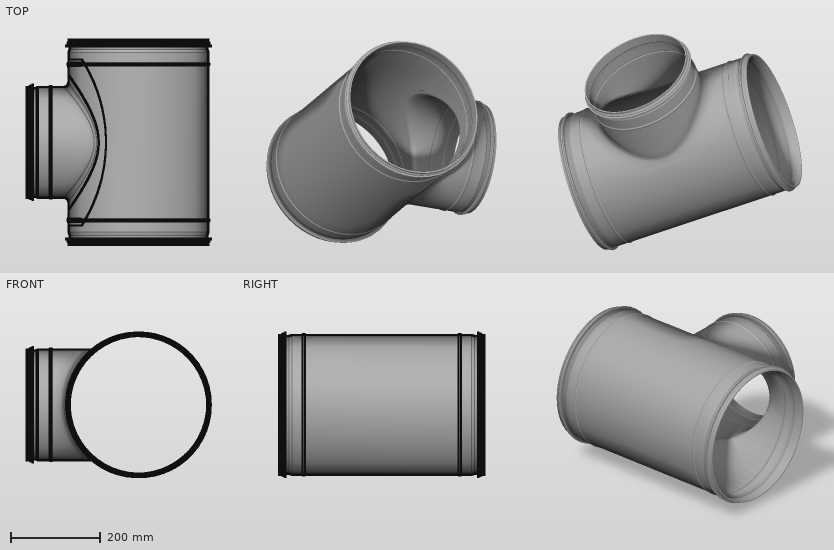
import cadquery as cq
import math


sheet = 0.5

main_length = 460.0
main_radius = 313.5 / 2
main_groove_radius = 309.0 / 2
main_taper_end = 29.0

overall_depth = 412.5
branch_radius = 249.0 / 2
branch_groove_radius = 244.3 / 2
branch_taper_end = 25.0

flange_thickness = 2.0
groove_end = 21.5
main_bead_place = 55.0
branch_bead_place = 54.0
bead_half_width = 3.5
bead_bore_half_width = 2.5
bead_height = 2.0
plain_from = 64.5

band_thickness = 1.5
small_lip_start = 5.5
small_lip_crown = 8.5
small_lip_end = 10.5
small_lip_height = 2.8
large_lip_start = 13.0
large_lip_end = 14.5
large_lip_height = 10.5 / 2

saddle_fillet = 9.0
plate_half_length = 186.0
plate_edge_x = -72.5
plate_edge_radius = 345.0
opening_half_length = 151.5
opening_half_height = 129.0

branch_reach = overall_depth - main_radius - large_lip_height


def add_bead(profile, radius, middle, direction):
    """Continue a profile over a bead made of a crown arc and two equal foot arcs, all tangent.

    The profile runs along +Z for direction = 1 and along -Z for direction = -1.
    """
    half = direction * bead_half_width / 2
    rise = bead_height / 2
    arc_radius = (half**2 + rise**2) / (2 * rise)
    half_angle = math.asin(half / arc_radius) / 2
    foot_step = arc_radius * math.sin(half_angle)
    foot_radius = radius + arc_radius * (1 - math.cos(half_angle))
    side_radius = radius + rise
    crown = (radius + bead_height, middle)
    start = middle - 2 * half
    end = middle + 2 * half
    return (
        profile.lineTo(radius, start)
        .threePointArc((foot_radius, start + foot_step), (side_radius, middle - half))
        .threePointArc(crown, (side_radius, middle + half))
        .threePointArc((foot_radius, end - foot_step), (radius, end))
    )


def revolve_about_z(profile):
    """Close a profile drawn in the XZ plane and turn it round the Z axis."""
    return profile.close().revolve(360, (0, 0, 0), (0, 1, 0))


def make_spigot(start, length, radius, groove_radius, taper_end, bead_place):
    """Sheet tube along +Z from a start height, with a bead, a gasket groove and an end flange."""
    bore_radius = radius - sheet
    bead_middle = length - bead_place
    profile = cq.Workplane("XZ").moveTo(radius, start)
    profile = add_bead(profile, radius, bead_middle, 1)
    profile = (
        profile.lineTo(radius, length - taper_end)
        .lineTo(groove_radius, length - groove_end)
        .lineTo(groove_radius, length - flange_thickness)
        .lineTo(radius, length - flange_thickness)
        .lineTo(radius, length)
        .lineTo(groove_radius - sheet, length)
        .lineTo(groove_radius - sheet, length - groove_end)
        .lineTo(bore_radius, length - taper_end)
    )
    profile = (
        profile.lineTo(bore_radius, bead_middle + bead_bore_half_width)
        .threePointArc(
            (bore_radius + bead_height, bead_middle),
            (bore_radius, bead_middle - bead_bore_half_width),
        )
        .lineTo(bore_radius, start)
    )
    return revolve_about_z(profile)


def make_plate_wing():
    """Outer part of the saddle plate as a full ring along +Z, pressed over the bead of the main pipe."""
    plate_radius = main_radius + sheet
    start = main_length / 2 - plain_from
    bead_middle = main_length / 2 - main_bead_place
    profile = cq.Workplane("XZ").moveTo(plate_radius, start)
    profile = add_bead(profile, plate_radius, bead_middle, 1)
    profile = profile.lineTo(plate_radius, plate_half_length).lineTo(main_radius, plate_half_length)
    profile = add_bead(profile, main_radius, bead_middle, -1).lineTo(main_radius, start)
    return revolve_about_z(profile)


def toward_y(body, side):
    """Turn a body from the +Z axis onto the +Y (side = 1) or -Y (side = -1) axis."""
    return body.rotate((0, 0, 0), (1, 0, 0), -90 * side)


def toward_branch(body):
    """Turn a body from the +Z axis onto the -X axis."""
    return body.rotate((0, 0, 0), (0, 1, 0), -90)


def make_main_pipe():
    """Main pipe: a thin shell with an elliptical opening under the saddle."""
    half = make_spigot(
        0, main_length / 2, main_radius, main_groove_radius, main_taper_end, main_bead_place
    )
    opening = (
        cq.Workplane("YZ")
        .ellipse(opening_half_length, opening_half_height)
        .extrude(-branch_reach)
    )
    return toward_y(half, 1).union(toward_y(half, -1), clean=True).cut(opening)


def tee_core(crossing_radius, stub_radius, fillet):
    """Solid cylinder along Y with a plain stub along -X and a fillet round the foot of the stub."""
    crossing = (
        cq.Workplane("XZ")
        .circle(crossing_radius)
        .extrude(main_length / 2 - plain_from, both=True)
    )
    stub = toward_branch(
        cq.Workplane("XY").circle(stub_radius).extrude(branch_reach - plain_from)
    )
    foot = cq.selectors.BoxSelector(
        (-crossing_radius - sheet, -stub_radius - sheet, -stub_radius - sheet),
        (0, stub_radius + sheet, stub_radius + sheet),
        boundingbox=True,
    )
    return crossing.union(stub).edges(foot).fillet(fillet)


def make_plate_zone():
    """Upright prism that trims the saddle plate to its outline in the XY plane."""
    edge_drop = plate_edge_radius - math.sqrt(plate_edge_radius**2 - plate_half_length**2)
    corner_x = plate_edge_x - edge_drop
    return (
        cq.Workplane("XY")
        .moveTo(-branch_reach, -plate_half_length)
        .lineTo(corner_x, -plate_half_length)
        .threePointArc((plate_edge_x, 0), (corner_x, plate_half_length))
        .lineTo(-branch_reach, plate_half_length)
        .close()
        .extrude(2 * main_radius, both=True)
    )


def make_branch_saddle():
    """Branch tube and saddle plate as one sheet, bent round from one into the other."""
    saddle = tee_core(main_radius + sheet, branch_radius, saddle_fillet).cut(
        tee_core(main_radius, branch_radius - sheet, saddle_fillet + sheet)
    )
    wing = make_plate_wing()
    for side in (1, -1):
        saddle = saddle.union(toward_y(wing, side))
    saddle = saddle.intersect(make_plate_zone())
    branch = make_spigot(
        branch_reach - plain_from,
        branch_reach,
        branch_radius,
        branch_groove_radius,
        branch_taper_end,
        branch_bead_place,
    )
    return saddle.union(toward_branch(branch), clean=True)


def make_gasket(length, radius, groove_radius):
    """Lip gasket seated in the groove of a spigot that runs from the origin along +Z."""
    band_radius = groove_radius + band_thickness
    small_lip_radius = radius + small_lip_height
    large_lip_radius = radius + large_lip_height
    profile = (
        cq.Workplane("XZ")
        .moveTo(groove_radius, length - flange_thickness)
        .lineTo(radius, length - flange_thickness)
        .lineTo(radius, length - small_lip_start)
        .lineTo(small_lip_radius, length - small_lip_crown)
        .lineTo(small_lip_radius, length - small_lip_end)
        .lineTo(band_radius, length - small_lip_end)
        .lineTo(band_radius, length - large_lip_start)
        .lineTo(large_lip_radius, length - large_lip_start)
        .lineTo(large_lip_radius, length - large_lip_end)
        .lineTo(groove_radius, length - large_lip_end)
    )
    return revolve_about_z(profile)


main_pipe = make_main_pipe()
branch_saddle = make_branch_saddle()

main_gasket = make_gasket(main_length / 2, main_radius, main_groove_radius)
gaskets = [toward_y(main_gasket, side) for side in (1, -1)]
gaskets.append(toward_branch(make_gasket(branch_reach, branch_radius, branch_groove_radius)))

result = cq.Compound.makeCompound(
    [main_pipe.val(), branch_saddle.val(), *[gasket.val() for gasket in gaskets]]
)